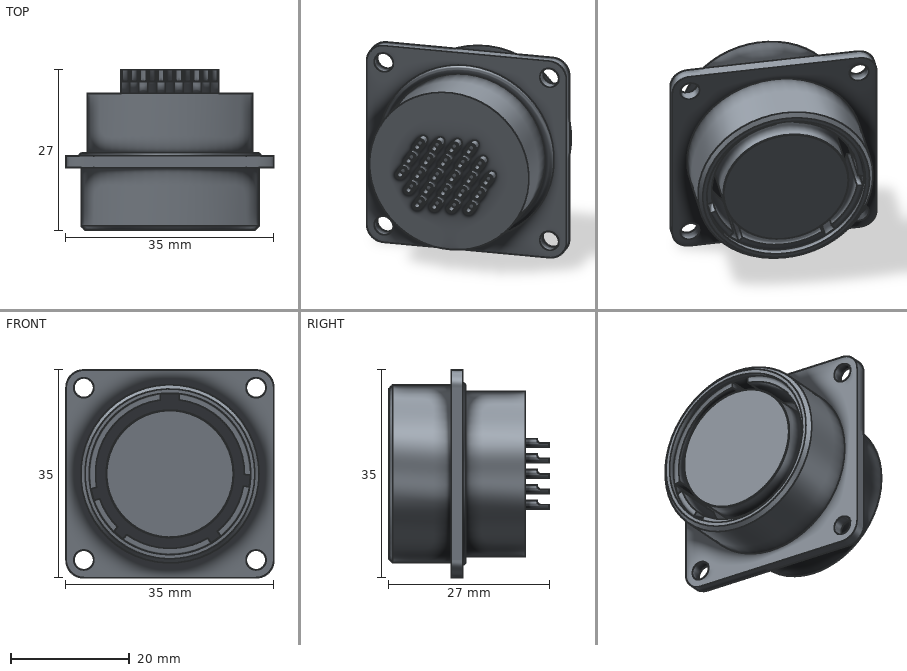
import cadquery as cq
import math


flange_side = 35.0
flange_thickness = 2.0
flange_corner_radius = 3.0
mount_hole_diameter = 3.3
mount_hole_spacing = 29.0

shell_radius = 15.0
shell_length = 10.5
shell_chamfer = 0.7
bore_radius = 13.6
bore_depth = shell_length

key_ring_radius = 12.55
key_ring_setback = 1.2
keyway_floor_distance = 13.5
main_keyway_angle = 90.0
main_keyway_width = 3.2
minor_keyway_offsets = (-145.0, -95.0, 105.0, 140.0)
minor_keyway_width = 2.0

insert_radius = 10.75
insert_setback = 0.15
insert_edge_chamfer = 0.1

collar_radius = 15.4
collar_thickness = 0.5
collar_fillet = 0.75
rear_body_radius = 13.95
rear_body_length = 10.0

contact_row_counts = (4, 5, 6, 5, 4)
contact_pitch = 3.0
hexagonal_angle = 60.0
contact_row_pitch = contact_pitch * math.sin(math.radians(hexagonal_angle))
contact_radius = 0.75
contact_length = 4.0
cup_bore_radius = 0.5
cup_cut_length = 2.0
cup_cut_fillet = 0.6

flange_front_y = 0.0
mouth_y = flange_front_y - shell_length
bore_floor_y = mouth_y + bore_depth
flange_rear_y = flange_front_y + flange_thickness
rear_body_y = flange_rear_y + collar_thickness
contact_y = rear_body_y + rear_body_length
contact_end_y = contact_y + contact_length


def rod(radius, y_start, y_end):
    """Cylinder about the Y axis between two stations."""
    return cq.Workplane("XZ", origin=(0, y_start, 0)).circle(radius).extrude(y_start - y_end)


def make_flange():
    plate = (
        cq.Workplane("XZ")
        .rect(flange_side, flange_side)
        .extrude(-flange_thickness)
        .edges("|Y")
        .fillet(flange_corner_radius)
    )
    holes = (
        cq.Workplane("XZ")
        .rect(mount_hole_spacing, mount_hole_spacing, forConstruction=True)
        .vertices()
        .circle(mount_hole_diameter / 2)
        .extrude(-flange_thickness)
    )
    return plate.cut(holes)


def make_keyway(angle, width):
    """Flat-ended radial bar that cuts one keyway through the key ring."""
    bar = cq.Workplane("XY").box(
        keyway_floor_distance, bore_depth, width, centered=(False, False, True)
    )
    bar = bar.translate((0, mouth_y, 0))
    return bar.rotate((0, 0, 0), (0, 1, 0), -angle)


def make_front_shell():
    shell = rod(shell_radius, mouth_y, flange_front_y).faces("<Y").chamfer(shell_chamfer)
    cavity = rod(bore_radius, mouth_y, mouth_y + key_ring_setback)
    cavity = cavity.union(rod(key_ring_radius, mouth_y, bore_floor_y))
    keyways = make_keyway(main_keyway_angle, main_keyway_width)
    for offset in minor_keyway_offsets:
        keyways = keyways.union(make_keyway(main_keyway_angle + offset, minor_keyway_width))
    return shell.cut(cavity).cut(keyways)


def make_insert():
    insert = rod(insert_radius, mouth_y + insert_setback, bore_floor_y)
    return insert.faces("<Y").chamfer(insert_edge_chamfer)


def make_rear_body():
    collar = rod(collar_radius, flange_front_y, rear_body_y).faces(">Y").edges().fillet(collar_fillet)
    return collar.union(rod(rear_body_radius, flange_rear_y, contact_y))


def make_contact():
    """Solder-cup contact on the Y axis, its cup open towards +Z."""
    pin = rod(contact_radius, contact_y, contact_end_y)
    cup_y = contact_end_y - cup_cut_length
    bore = rod(cup_bore_radius, cup_y, contact_end_y)
    opening = (
        cq.Workplane("XY")
        .box(2 * contact_radius, cup_cut_length, contact_radius, centered=(True, False, False))
        .translate((0, cup_y, 0))
        .edges("|X and <Y and <Z")
        .fillet(cup_cut_fillet)
    )
    return pin.cut(bore).cut(opening)


def contact_positions():
    positions = []
    middle_row = (len(contact_row_counts) - 1) / 2
    for row, count in enumerate(contact_row_counts):
        z = (row - middle_row) * contact_row_pitch
        for column in range(count):
            x = (column - (count - 1) / 2) * contact_pitch
            positions.append((x, 0, z))
    return positions


result = make_flange().union(make_front_shell()).union(make_insert()).union(make_rear_body())
contact = make_contact()
for position in contact_positions():
    result = result.union(contact.translate(position))